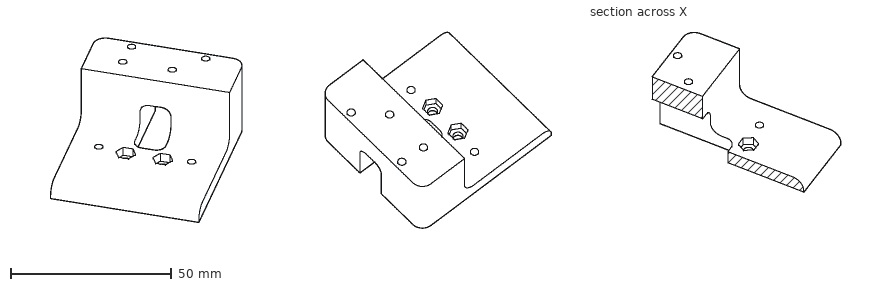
import cadquery as cq
import math

width = 48.0
depth = 54.0
height = 25.0

base_thickness = 5.0
block_depth = 18.0
edge_radius = 4.0
wall_y = depth - block_depth

opening_width = 10.0
opening_height = 15.0
opening_reach = 9.0
opening_radius = 3.0

screw_diameter = 2.6
rear_hole_spacing = 24.0
rear_hole_inset = 2.5
blind_hole_spacing = 16.0
blind_hole_centre_x = -4.5
blind_hole_inset = 11.0
blind_hole_depth = 10.0
base_hole_spacing = 30.0
base_hole_setback = 12.0

nut_spacing = 12.0
nut_setback = 13.0
nut_across_flats = 5.5
nut_pocket_depth = 3.0
nut_hole_diameter = 3.2


def pair(centre_x, spacing, y):
    """Two points at the same Y, spaced evenly about centre_x."""
    return [(centre_x - spacing / 2, y), (centre_x + spacing / 2, y)]


def drill(points, diameter, bottom_z, top_z):
    """Vertical cylinders between two heights."""
    plane = cq.Workplane("XY").workplane(offset=bottom_z)
    return plane.pushPoints(points).circle(diameter / 2).extrude(top_z - bottom_z)


def bracket_body():
    """L-shaped bracket with rounded front edge, inner corner and rear corners."""
    body = (
        cq.Workplane("YZ", origin=(-width / 2, 0, 0))
        .lineTo(depth, 0)
        .lineTo(depth, height)
        .lineTo(wall_y, height)
        .lineTo(wall_y, base_thickness + edge_radius)
        .radiusArc((wall_y - edge_radius, base_thickness), edge_radius)
        .lineTo(edge_radius, base_thickness)
        .radiusArc((0, base_thickness - edge_radius), -edge_radius)
        .close()
        .extrude(width)
    )
    return body.edges("|Z and >Y").fillet(edge_radius)


def cable_opening():
    """Channel through the block and base, rounded at its top and front corners."""
    length = block_depth + opening_reach
    return (
        cq.Workplane("XY")
        .box(opening_width, length, opening_height, centered=(True, False, False))
        .translate((0, wall_y - opening_reach, 0))
        .edges("(|Y and >Z) or (|Z and <Y)")
        .fillet(opening_radius)
    )


def nut_pockets(points):
    """Hexagonal recesses in the base top, with corners pointing along X."""
    across_corners = nut_across_flats / math.cos(math.pi / 6)
    plane = cq.Workplane("XY").workplane(offset=base_thickness - nut_pocket_depth)
    return plane.pushPoints(points).polygon(6, across_corners).extrude(nut_pocket_depth)


rear_points = pair(0, rear_hole_spacing, depth - rear_hole_inset)
blind_points = pair(blind_hole_centre_x, blind_hole_spacing, depth - blind_hole_inset)
base_points = pair(0, base_hole_spacing, wall_y - base_hole_setback)
nut_points = pair(0, nut_spacing, wall_y - nut_setback)

result = (
    bracket_body()
    .cut(cable_opening())
    .cut(drill(rear_points, screw_diameter, 0, height))
    .cut(drill(blind_points, screw_diameter, height - blind_hole_depth, height))
    .cut(drill(base_points, screw_diameter, 0, base_thickness))
    .cut(drill(nut_points, nut_hole_diameter, 0, base_thickness))
    .cut(nut_pockets(nut_points))
)